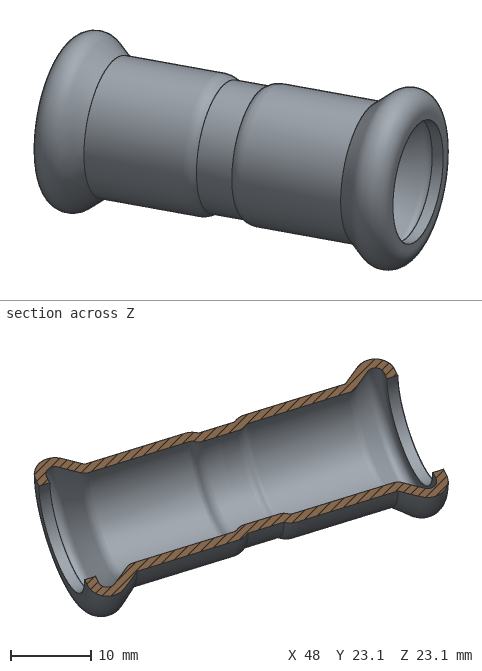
import cadquery as cq
import math

length = 48.0
wall = 1.5
body_radius = 9.05
neck_radius = 8.5
socket_end = 20.0
neck_start = 21.6

bead_diameter = 23.1
bead_round = 2.6
mouth_radius = 7.85
bead_end = 6.6

bead_center = (bead_round, bead_diameter / 2 - bead_round)
bead_corner = (bead_end, body_radius)
neck_corner = (neck_start, neck_radius)

corner_dx = bead_end - bead_center[0]
corner_dr = body_radius - bead_center[1]
corner_distance = math.hypot(corner_dx, corner_dr)
cone_normal = math.atan2(corner_dx, corner_dr) - math.acos(bead_round / corner_distance)

shoulder_run = neck_start - socket_end
shoulder_drop = body_radius - neck_radius
shoulder_round = (shoulder_run**2 + shoulder_drop**2) / (2 * shoulder_drop)
shoulder_center = (socket_end, body_radius - shoulder_round)
shoulder_normal = math.asin(shoulder_run / shoulder_round)

FACE_NORMAL = -math.pi / 2


def around(center, radius, angle):
    """Point on a circle, with the angle measured from radial toward +X."""
    return (center[0] + radius * math.sin(angle), center[1] + radius * math.cos(angle))


def add_arc(path, center, radius, start, end):
    """Continue the path along an arc that starts at the current point."""
    middle = around(center, radius, (start + end) / 2)
    return path.threePointArc(middle, around(center, radius, end))


def half_profile():
    """Wall section of one half, with its open end at X = 0."""
    middle = length / 2
    bead_inner_round = bead_round - wall
    shoulder_inner_round = shoulder_round - wall

    path = cq.Workplane("XY").moveTo(0, mouth_radius).lineTo(0, bead_center[1])
    path = add_arc(path, bead_center, bead_round, FACE_NORMAL, cone_normal)
    path = path.lineTo(*bead_corner).lineTo(socket_end, body_radius)
    path = add_arc(path, shoulder_center, shoulder_round, 0, shoulder_normal)
    path = path.lineTo(middle, neck_radius)

    path = path.lineTo(middle, neck_radius - wall).lineTo(neck_start, neck_radius - wall)
    path = add_arc(path, neck_corner, -wall, 0, shoulder_normal)
    path = add_arc(path, shoulder_center, shoulder_inner_round, shoulder_normal, 0)
    path = path.lineTo(bead_end, body_radius - wall)
    path = add_arc(path, bead_corner, -wall, 0, cone_normal)
    path = path.lineTo(*around(bead_center, bead_inner_round, cone_normal))
    path = add_arc(path, bead_center, bead_inner_round, cone_normal, FACE_NORMAL)
    return path.lineTo(wall, mouth_radius).close()


half = half_profile().revolve(360, (0, 0, 0), (1, 0, 0)).translate((-length / 2, 0, 0))
result = half.union(half.mirror("YZ")).clean()